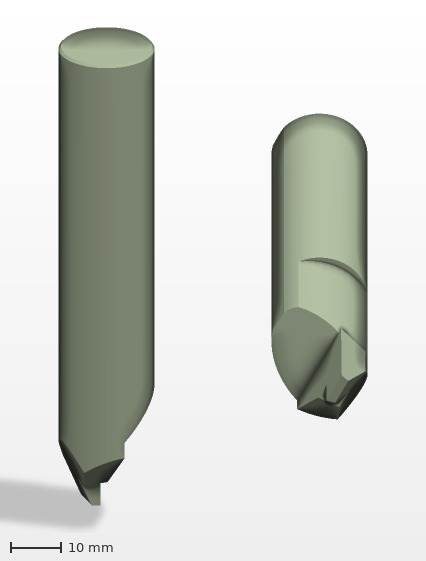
import cadquery as cq
import math

length = 101.6
radius = 9.5
flat_y = 9.2
top_chamfer = 0.5

recess_bottom = 19.0
recess_top = 44.5
recess_x = -8.2
recess_edge_x = -5.7

relief_top = 17.2
tip_depth = 1.8
end_relief_angle = 10.0
bevel_top = 15.6
shoulder_z = 6.7
tip_x = -3.0
tip_side_angle = 6.0
flank_lean = 0.3
flank_angle = 20.0

big = 3 * radius


def prism_along_x(points):
    """Solid with a YZ outline, spanning the part in X."""
    return cq.Workplane("YZ").polyline(points).close().extrude(big, both=True)


def make_shank():
    shank = cq.Workplane("XY").circle(radius).extrude(length)
    shank = shank.faces(">Z").edges().chamfer(top_chamfer)
    outside_flat = cq.Workplane("XY").box(2 * big, big, length, centered=(True, False, False))
    return shank.cut(outside_flat.translate((0, flat_y, 0)))


def make_recess():
    half_chord = math.sqrt(radius**2 - recess_edge_x**2)
    return (
        cq.Workplane("XY", origin=(0, 0, recess_bottom))
        .moveTo(recess_edge_x, -half_chord)
        .threePointArc((recess_x, 0), (recess_edge_x, half_chord))
        .lineTo(-big, half_chord)
        .lineTo(-big, -half_chord)
        .close()
        .extrude(recess_top - recess_bottom)
    )


def make_cutting_face():
    """Half of the head removed down to y = 0, with a 45 degree run-out."""
    return prism_along_x([(0, -1), (0, recess_bottom), (big, recess_bottom + big), (big, -1)])


def make_front_relief():
    end_rise = tip_depth * math.tan(math.radians(end_relief_angle))
    slope = (relief_top - end_rise) / (radius - tip_depth)
    outer_z = relief_top + slope * (big - radius)
    return prism_along_x([(0, 0), (-tip_depth, end_rise), (-big, outer_z), (-big, -1), (0, -1)])


def make_bevel():
    low_x = radius - (bevel_top - shoulder_z)
    return (
        cq.Workplane("XZ")
        .polyline([(low_x, shoulder_z), (low_x + big, shoulder_z + big), (low_x + big, shoulder_z)])
        .close()
        .extrude(big, both=True)
    )


def make_tip_notch():
    """Space under the shoulder, leaving the tip with a relieved inner side."""
    side_shift = big * math.tan(math.radians(tip_side_angle))
    return (
        cq.Workplane("XY", origin=(0, 0, -1))
        .polyline([(tip_x + side_shift, big), (big, big), (big, -big), (tip_x - side_shift, -big)])
        .close()
        .extrude(shoulder_z + 1)
    )


def make_flank():
    """Material outside the leaning, relieved flank between the tip and the ledge."""
    side_shift = big * math.tan(math.radians(flank_angle))

    def outline(z, edge_x):
        corners = [(edge_x - side_shift, big), (edge_x + side_shift, -big), (-2 * big, -big), (-2 * big, big)]
        return cq.Wire.makePolygon([cq.Vector(x, y, z) for x, y in corners], close=True)

    lower = outline(0, -radius)
    upper = outline(recess_bottom, flank_lean - radius)
    return cq.Workplane(cq.Solid.makeLoft([lower, upper], True))


result = make_shank()
for cutter in (
    make_recess(),
    make_cutting_face(),
    make_front_relief(),
    make_bevel(),
    make_tip_notch(),
    make_flank(),
):
    result = result.cut(cutter)